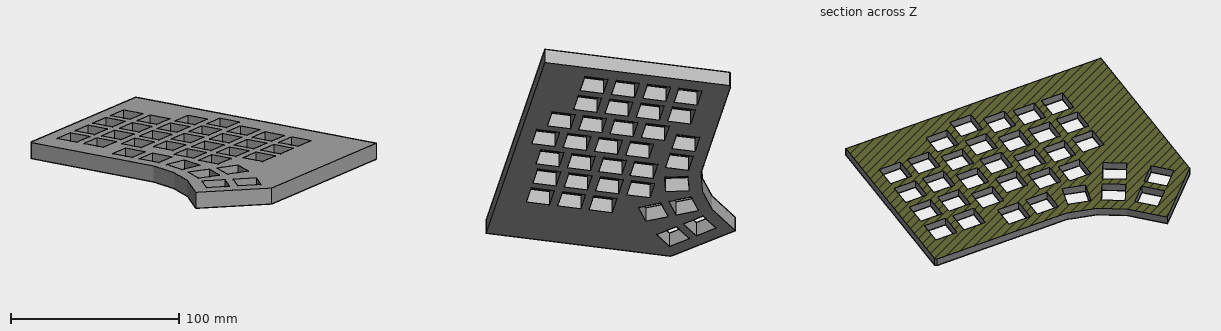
import cadquery as cq
import math

plate_width = 172.0
plate_depth = 144.53
plate_thickness = 10.0
straight_edge_depth = 113.0
corner_cut = 1.0

bend_step = 15.0
side_depth = straight_edge_depth - corner_cut
tip_x = plate_width - (plate_depth - side_depth)
tip_edge_length = 25.1
middle_edge_length = 18.1

opening_size = 14.0
key_pitch = 19.0
first_column_x = 15.83
columns = [
    (33.2, 4),
    (33.2, 4),
    (21.2, 4),
    (15.7, 4),
    (22.2, 4),
    (24.2, 4),
    (24.2, 3),
]

thumb_groups = [
    (60.8, -98.2, 0.0, 1),
    (79.8, -98.2, 0.0, 1),
    (101.5, -101.1, bend_step, 1),
    (121.9, -109.5, 2 * bend_step, 2),
    (139.2, -122.8, 3 * bend_step, 2),
]


def step_back(point, length, bend_count):
    """Move from a point up and to the left along an edge bent down by bend_count steps."""
    angle = math.radians(bend_count * bend_step)
    return point[0] - length * math.cos(angle), point[1] + length * math.sin(angle)


def make_plate():
    tip = (tip_x, -plate_depth)
    third_bend = step_back(tip, tip_edge_length, 3)
    second_bend = step_back(third_bend, middle_edge_length, 2)
    rise = -straight_edge_depth - second_bend[1]
    first_bend = step_back(second_bend, rise / math.sin(math.radians(bend_step)), 1)
    outline = [
        (0, 0),
        (plate_width, 0),
        (plate_width, -side_depth),
        tip,
        third_bend,
        second_bend,
        first_bend,
        (corner_cut, -straight_edge_depth),
        (0, -side_depth),
    ]
    return cq.Workplane("XY").polyline(outline).close().extrude(plate_thickness)


def key_opening(x, y, clockwise_turn=0.0):
    return (
        cq.Workplane("XY")
        .rect(opening_size, opening_size)
        .extrude(plate_thickness)
        .rotate((0, 0, 0), (0, 0, 1), -clockwise_turn)
        .translate((x, y, 0))
    )


def column_openings():
    openings = []
    for column, (first_key_depth, key_count) in enumerate(columns):
        x = first_column_x + column * key_pitch
        for row in range(key_count):
            openings.append(key_opening(x, -first_key_depth - row * key_pitch))
    return openings


def thumb_openings():
    openings = []
    for x, y, turn, key_count in thumb_groups:
        angle = math.radians(turn)
        for key in range(key_count):
            offset = key * key_pitch
            key_x = x + offset * math.sin(angle)
            key_y = y + offset * math.cos(angle)
            openings.append(key_opening(key_x, key_y, turn))
    return openings


result = make_plate()
for opening in column_openings() + thumb_openings():
    result = result.cut(opening)